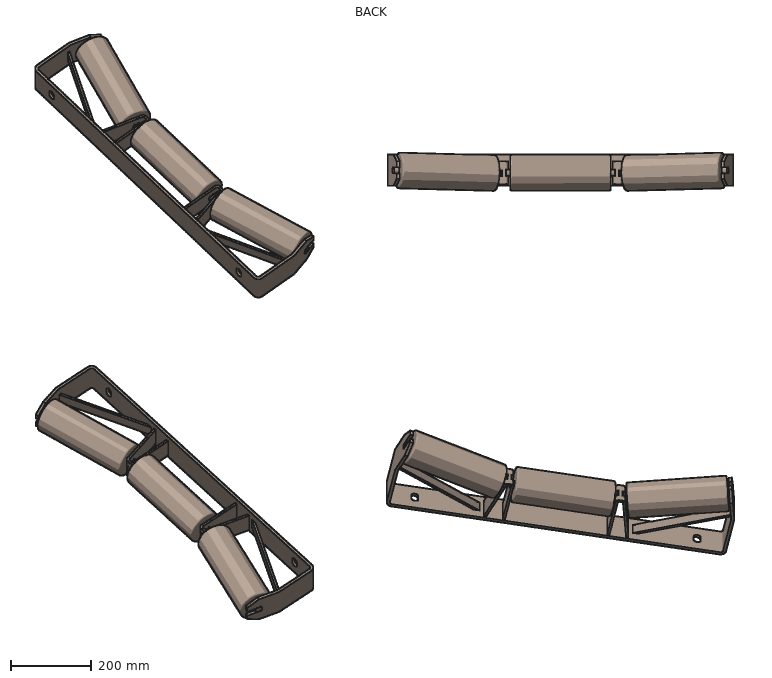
import cadquery as cq
import math

frame_length = 860.0
strap_height = 78.0
strap_thickness = 8.0
strap_bend_radius = 15.0
plate_thickness = 6.0

roller_length = 250.0
roller_diameter = 89.5
roller_edge_radius = 4.0
shaft_diameter = 19.0
shaft_flat_width = 15.5
end_gap = 4.0
shoulder_clearance = 1.0

middle_roller_y = 102.0
middle_roller_z = -7.0
side_roller_x = 283.0
side_roller_y = 138.0
side_roller_z = -4.0
trough_angle = 15.0
forward_tilt = 1.5

arm_tip_reach = 32.0
arm_tip_bevel_drop = 17.0
bracket_height = 57.0
bracket_top_y = 126.0
bracket_bend_radius = 8.0
brace_wall_y = 114.0
brace_angle = 25.0
brace_height = 30.0
bolt_slot_x = 358.0
bolt_slot_width = 18.0
bolt_slot_height = 27.0

half_length = frame_length / 2
seat_distance = roller_length / 2 + end_gap
cos_trough = math.cos(math.radians(trough_angle))
sin_trough = math.sin(math.radians(trough_angle))


def side_point(along, across):
    """Plan position measured from the right roller's centre, along and across its axis."""
    return (
        side_roller_x + along * cos_trough - across * sin_trough,
        side_roller_y + along * sin_trough + across * cos_trough,
    )


def side_point_at_x(along, x):
    """Point with the given X on the line square to the right roller's axis."""
    across = (side_roller_x + along * cos_trough - x) / sin_trough
    return side_point(along, across)


def side_point_at_y(along, y):
    """Point with the given Y on the line square to the right roller's axis."""
    across = (y - side_roller_y - along * sin_trough) / cos_trough
    return side_point(along, across)


def plan_plate(points, height):
    """Outline in plan, extruded equally above and below Z = 0."""
    return cq.Workplane("XY").workplane(offset=-height / 2).polyline(points).close().extrude(height)


def both_sides(shape):
    return [shape, shape.mirror("YZ")]


def place_side(shape):
    """Move a shape modelled along X at the origin onto the right roller's axis."""
    return (
        shape.rotate((0, 0, 0), (0, 1, 0), -forward_tilt)
        .rotate((0, 0, 0), (0, 0, 1), trough_angle)
        .translate((side_roller_x, side_roller_y, side_roller_z))
    )


def place_middle(shape):
    return shape.translate((0, middle_roller_y, middle_roller_z))


def shaft(length_left, length_right):
    return (
        cq.Workplane("YZ").workplane(offset=-length_left)
        .circle(shaft_diameter / 2).extrude(length_left + length_right)
    )


def flats_band(length):
    """Block that leaves only the part of a shaft between its two flats."""
    return cq.Workplane("XY").box(2 * length, shaft_diameter, shaft_flat_width)


def roller(left_plate, right_plate):
    """Roller along X with a flatted shaft end reaching through the plate on each side."""
    drum = (
        cq.Workplane("YZ").workplane(offset=-roller_length / 2)
        .circle(roller_diameter / 2).extrude(roller_length)
        .edges().fillet(roller_edge_radius)
    )
    round_reach = seat_distance - shoulder_clearance
    left_reach = seat_distance + left_plate
    right_reach = seat_distance + right_plate
    flatted = shaft(left_reach, right_reach).intersect(flats_band(max(left_reach, right_reach)))
    return drum.union(shaft(round_reach, round_reach)).union(flatted)


def shaft_slot(start, plate):
    """Slot for a flatted shaft end, round at the shaft and open toward +Y."""
    depth = plate + 2 * shoulder_clearance
    opening = roller_diameter / 2
    seat = shaft(seat_distance + depth, seat_distance + depth).intersect(flats_band(2 * seat_distance))
    throat = cq.Workplane("XY").box(
        4 * seat_distance, opening, shaft_flat_width, centered=(True, False, True)
    )
    end_block = cq.Workplane("XY").box(depth, 3 * opening, opening).translate(
        (start * (seat_distance + plate / 2), 0, 0)
    )
    return seat.union(throat).intersect(end_block)


def round_bend(body, corner, radius):
    """Round the upright edge at a plan corner and at its mirror image."""
    x, y = corner
    for side_x in (x, -x):
        body = body.edges(cq.selectors.NearestToPointSelector((side_x, y, 0))).fillet(radius)
    return body


def strap():
    arm_outer = seat_distance + strap_thickness
    inner_wall_x = half_length - strap_thickness
    right_outer = [
        (half_length, 0),
        side_point_at_x(arm_outer, half_length),
        side_point(arm_outer, arm_tip_reach),
    ]
    right_inner = [
        side_point(seat_distance, arm_tip_reach),
        side_point_at_x(seat_distance, inner_wall_x),
        (inner_wall_x, strap_thickness),
    ]
    right_half = right_outer + right_inner
    left_half = [(-x, y) for x, y in reversed(right_half)]
    body = plan_plate(right_half + left_half, strap_height)
    for corner in (right_outer[0], right_outer[1]):
        body = round_bend(body, corner, strap_bend_radius)
    for corner in (right_inner[1], right_inner[2]):
        body = round_bend(body, corner, strap_bend_radius - strap_thickness)
    return body


def arm_tip_waste():
    """Corners beyond the bevels of the right arm's tip, which start level with the shaft."""
    half_height = strap_height / 2
    tip_half_height = half_height - arm_tip_bevel_drop
    upper_corner = (
        cq.Workplane("YZ").workplane(offset=seat_distance - strap_thickness)
        .polyline([(0, half_height), (arm_tip_reach, half_height), (arm_tip_reach, tip_half_height)])
        .close().extrude(3 * strap_thickness)
    )
    return (
        upper_corner.union(upper_corner.mirror("XY"))
        .rotate((0, 0, 0), (0, 0, 1), trough_angle)
        .translate((side_roller_x, side_roller_y, 0))
    )


def bolt_slot():
    return (
        cq.Workplane("XZ").center(bolt_slot_x, 0)
        .slot2D(bolt_slot_height, bolt_slot_width, 90).extrude(strap_thickness * 2, both=True)
    )


def bracket_block(inset, foot_y):
    straight_x = seat_distance + inset
    slant_along = -seat_distance - inset
    top_y = bracket_top_y - inset
    outline = [
        (straight_x, foot_y),
        (straight_x, top_y),
        side_point_at_y(slant_along, top_y),
        side_point_at_y(slant_along, foot_y),
    ]
    block = plan_plate(outline, bracket_height).translate((0, 0, middle_roller_z))
    return block.faces(">Y").edges("|Z").fillet(bracket_bend_radius - inset)


def bracket():
    outside = bracket_block(0, strap_thickness)
    return outside.cut(bracket_block(plate_thickness, 0))


def brace():
    slope = math.tan(math.radians(brace_angle))
    wall_x = half_length - strap_thickness
    drop = plate_thickness / math.cos(math.radians(brace_angle))
    rise = brace_wall_y - strap_thickness
    outline = [
        (wall_x, brace_wall_y),
        (wall_x - rise / slope, strap_thickness),
        (wall_x - (rise - drop) / slope, strap_thickness),
        (wall_x, brace_wall_y - drop),
    ]
    return plan_plate(outline, brace_height)


def make_frame():
    body = strap()
    for member in both_sides(bracket()) + both_sides(brace()):
        body = body.union(member)
    cutters = [
        arm_tip_waste(),
        bolt_slot(),
        place_side(shaft_slot(1, strap_thickness)),
        place_side(shaft_slot(-1, plate_thickness)),
        place_middle(shaft_slot(1, plate_thickness)),
    ]
    for cutter in cutters:
        for copy in both_sides(cutter):
            body = body.cut(copy)
    return body


frame = make_frame()
middle_roller = place_middle(roller(plate_thickness, plate_thickness))
side_rollers = both_sides(place_side(roller(plate_thickness, strap_thickness)))
rollers = [middle_roller] + side_rollers

result = cq.Compound.makeCompound([frame.val()] + [body.val() for body in rollers])